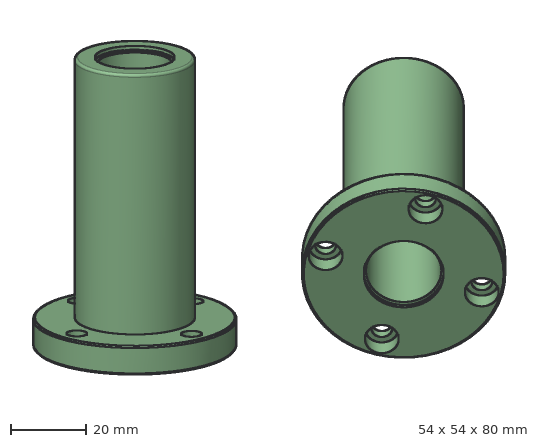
import cadquery as cq

total_height = 80.0
flange_diameter = 54.0
flange_thickness = 8.0
sleeve_diameter = 32.0

bore_diameter = 20.0
mouth_diameter = 21.2
mouth_depth = 1.1
undercut_diameter = 22.4
recess_depth = 1.7
undercut_height = recess_depth - mouth_depth

hole_diameter = 5.5
hole_circle_diameter = 43.0
hole_count = 4
counterbore_diameter = 9.0
counterbore_depth = 5.1

flange_chamfer = 0.5
sleeve_fillet = 0.8


def cylinder(diameter, height, base_z=0.0):
    """Solid cylinder on the Z axis, standing on base_z."""
    return cq.Workplane("XY").workplane(offset=base_z).circle(diameter / 2).extrude(height)


flange = cylinder(flange_diameter, flange_thickness).edges().chamfer(flange_chamfer)

sleeve = cylinder(sleeve_diameter, total_height).edges(">Z").fillet(sleeve_fillet)

bore = cylinder(bore_diameter, total_height)

mouth = cylinder(mouth_diameter, mouth_depth, total_height - mouth_depth)
undercut = cylinder(undercut_diameter, undercut_height, total_height - recess_depth)
top_recess = mouth.union(undercut)
bottom_recess = top_recess.mirror("XY", (0, 0, total_height / 2))


def hole_ring(diameter, height):
    """Cylinders rising from the flange underside, one at each mounting hole."""
    return (
        cq.Workplane("XY")
        .polarArray(hole_circle_diameter / 2, 0, 360, hole_count)
        .circle(diameter / 2)
        .extrude(height)
    )


mounting_holes = hole_ring(hole_diameter, flange_thickness).union(
    hole_ring(counterbore_diameter, counterbore_depth)
)

result = (
    flange.union(sleeve)
    .cut(bore)
    .cut(top_recess)
    .cut(bottom_recess)
    .cut(mounting_holes)
)